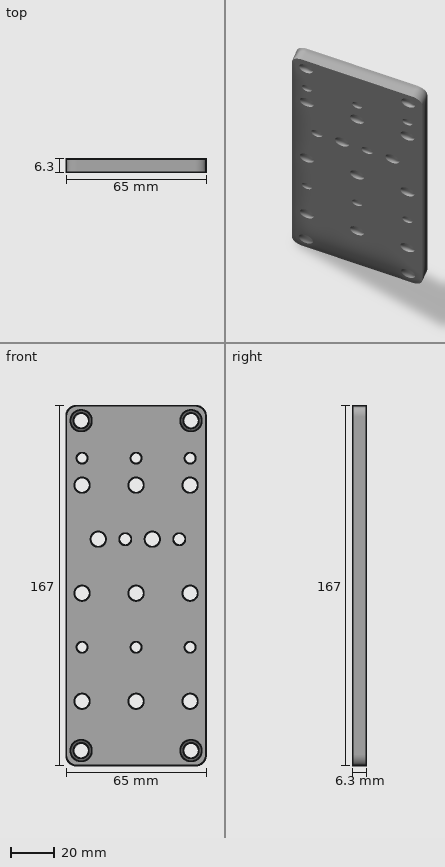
import cadquery as cq

width = 65.0
thickness = 6.3
height = 167.0
corner_radius = 5.0

large_hole = 7.0
medium_hole = 5.5
small_hole = 5.0
counterbore_diameter = 10.0
counterbore_depth = 3.3

pitch = 25.0
half_pitch = pitch / 2
corner_inset = 7.0
middle_row_z = 21.5
middle_row_start_x = -17.5
middle_row_count = 4
top_small_row_z = middle_row_z + 1.5 * pitch

columns = [-pitch, 0, pitch]
large_rows = [middle_row_z + pitch, middle_row_z - pitch, middle_row_z - 3 * pitch]
small_rows = [top_small_row_z, middle_row_z - 2 * pitch]


def grid(rows):
    """Points where the three columns cross the given rows."""
    return [(x, z) for x in columns for z in rows]


def cylinders(points, diameter, depth):
    """Cutters running from the front face (-Y) into the plate."""
    front = cq.Workplane("XZ", origin=(0, -thickness / 2, 0))
    return front.pushPoints(points).circle(diameter / 2).extrude(-depth)


plate = cq.Workplane("XY").box(width, thickness, height).edges("|Y").fillet(corner_radius)

corner_x = width / 2 - corner_inset
corner_z = height / 2 - corner_inset
corners = [(x, z) for x in (-corner_x, corner_x) for z in (-corner_z, corner_z)]
plate = plate.cut(cylinders(corners, large_hole, thickness))
plate = plate.cut(cylinders(corners, counterbore_diameter, counterbore_depth))

plate = plate.cut(cylinders(grid(large_rows), large_hole, thickness))
plate = plate.cut(cylinders(grid(small_rows), small_hole, thickness))

middle_row = [(middle_row_start_x + i * half_pitch, middle_row_z) for i in range(middle_row_count)]
plate = plate.cut(cylinders(middle_row[0::2], large_hole, thickness))
plate = plate.cut(cylinders(middle_row[1::2], medium_hole, thickness))

result = plate